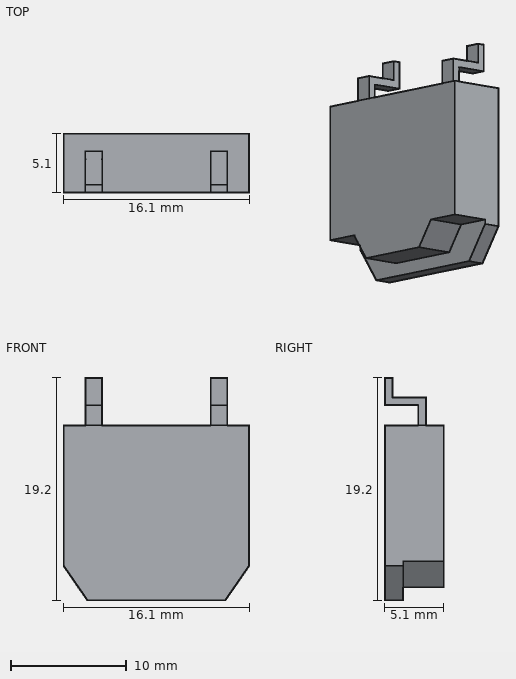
import cadquery as cq

WIDTH = 16.05
DEPTH = 5.1
HEIGHT = 19.25

PIN_HEIGHT = 4.1
BODY_TOP = HEIGHT - PIN_HEIGHT
PLATE_DEPTH = 1.58
PLATE_CUT_X = 2.06
PLATE_CUT_Z = 2.98
BLOCK_BOTTOM = 1.14
BLOCK_CUT_Z = 2.23
BLOCK_LEDGE = 3.08
BLOCK_CUT_X = BLOCK_CUT_Z * PLATE_CUT_X / PLATE_CUT_Z

PIN_WIDTH = 1.45
PIN_THICKNESS = 0.67
PIN_REACH = 3.56
PIN_SIDE_INSET = 1.89
PIN_BEND_BOTTOM = HEIGHT - 2.35
PIN_BEND_TOP = PIN_BEND_BOTTOM + PIN_THICKNESS
PIN_OFFSET = WIDTH / 2 - PIN_SIDE_INSET - PIN_WIDTH / 2


def cut_corner_slab(front, back, bottom, cut_x, cut_z, ledge=0):
    """Full-width slab up to the body top, with both lower corners cut off inside any ledge."""
    side = WIDTH / 2
    right_end = [(side - ledge - cut_x, bottom), (side - ledge, bottom + cut_z)]
    if ledge > 0:
        right_end.append((side, bottom + cut_z))
    right_end.append((side, BODY_TOP))
    left_end = [(-x, z) for x, z in reversed(right_end)]
    outline = right_end + left_end
    slab = cq.Workplane("XZ").polyline(outline).close().extrude(front - back)
    return slab.translate((0, front, 0))


def bent_pin(center_x):
    """Rear leg, forward-running bend and front upright in one profile."""
    profile = [
        (PIN_REACH, BODY_TOP),
        (PIN_REACH, PIN_BEND_TOP),
        (PIN_THICKNESS, PIN_BEND_TOP),
        (PIN_THICKNESS, HEIGHT),
        (0, HEIGHT),
        (0, PIN_BEND_BOTTOM),
        (PIN_REACH - PIN_THICKNESS, PIN_BEND_BOTTOM),
        (PIN_REACH - PIN_THICKNESS, BODY_TOP),
    ]
    pin = cq.Workplane("YZ").polyline(profile).close().extrude(PIN_WIDTH)
    return pin.translate((center_x - PIN_WIDTH / 2, 0, 0))


plate = cut_corner_slab(0, PLATE_DEPTH, 0, PLATE_CUT_X, PLATE_CUT_Z)
block = cut_corner_slab(PLATE_DEPTH, DEPTH, BLOCK_BOTTOM, BLOCK_CUT_X, BLOCK_CUT_Z, BLOCK_LEDGE)
result = plate.union(block)
for pin_x in (-PIN_OFFSET, PIN_OFFSET):
    result = result.union(bent_pin(pin_x))